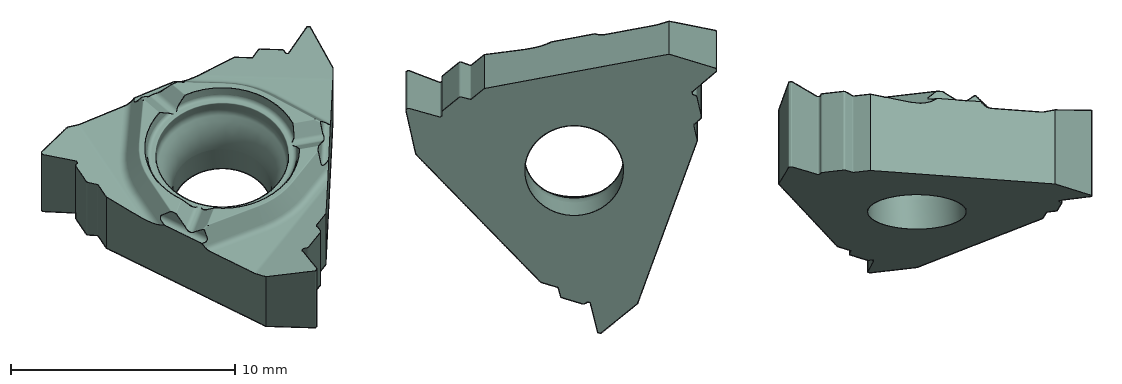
import cadquery as cq
import math


CORNER_ANGLES = (0, 120, 240)
INSCRIBED_RADIUS = 4.75
TOP_Z = 4.2
FLOOR_Z = 3.38
OVERSIZE = 8.39

LEADING_FLANK_DISTANCE = 6.77
TIP_Y = -7.21
TIP_END_X = -3.51
ROOT_Y = -5.93
ROOT_START_X = -2.73
ROOT_END_X = -2.61
CREST_START_X = -2.49
CREST_END_X = -1.4
CREST_Y = -6.1
SHOULDER_START_X = -1.13
SHOULDER_Y = -5.68
TIP_RADIUS = 0.05
ROOT_RADIUS = 0.04
CREST_RADIUS = 0.13
SHOULDER_RADIUS = 0.04

RAKE_ANGLE = 15.3
RAKE_FOLD_Y = -4.74
RAKE_FOLD_RADIUS = 0.46

HUB_TOP_RADIUS = 3.7
HUB_SLOPE_ANGLE = 50.0
HUB_EDGE_RADIUS = 0.07
HUB_FOOT_RADIUS = 0.42
HUB_ARC_END = 270
HUB_ARC_SPAN = 32

HOLE_RADIUS = 4.4 / 2
SEAT_START_Z = 1.37
SEAT_RADIUS = 2.28
SEAT_ANGLE = 43.9
SEAT_FILLET_RADIUS = 0.45
RIM_Z = 3.7
RIM_OUTER_RADIUS = 3.15
RIM_EDGE_RADIUS = 0.04
RECESS_FILLET_RADIUS = 0.21
RECESS_DRAFT = 18.0

GROOVE_DIRECTION = 195
GROOVE_OFFSET = 0.08
GROOVE_FLOOR_HALF_WIDTH = 0.035
GROOVE_WALL_ANGLE = 38.0
GROOVE_FILLET_RADIUS = 0.3
GROOVE_INNER_RADIUS = 2.8
RIDGE_RADIUS = 0.07
RIDGE_POINTS = (
    (-4.7, -1.66, 3.97),
    (-4.92, -0.74, 3.97),
)

NOTCH_LEDGE_Z = 3.66
NOTCH_LEDGE_X = -4.64
NOTCH_FILLET_RADIUS = 0.24
NOTCH_WALL_ANGLE = 70.0
NOTCH_START_Y = -2.52
NOTCH_END_Y = 0.98


def sin_deg(angle):
    return math.sin(math.radians(angle))


def cos_deg(angle):
    return math.cos(math.radians(angle))


def tan_deg(angle):
    return math.tan(math.radians(angle))


def turned(point, angle):
    """A plan point turned about the centre."""
    x, y = point
    return (
        x * cos_deg(angle) - y * sin_deg(angle),
        x * sin_deg(angle) + y * cos_deg(angle),
    )


def repeated(shape):
    """The shape joined with its copies at the other two corners."""
    copies = [shape.rotate((0, 0, 0), (0, 0, 1), angle) for angle in CORNER_ANGLES]
    return copies[0].union(copies[1]).union(copies[2])


def tooth_points():
    """Plan corners of the tooth at the -Y corner, from the -X side to the next side."""
    flank_start_y = -(LEADING_FLANK_DISTANCE - INSCRIBED_RADIUS * cos_deg(30)) / sin_deg(30)
    tip_start_x = -(LEADING_FLANK_DISTANCE + TIP_Y * sin_deg(30)) / cos_deg(30)
    shoulder_end_x = (INSCRIBED_RADIUS + SHOULDER_Y * sin_deg(60)) / cos_deg(60)
    return [
        (-INSCRIBED_RADIUS, flank_start_y),
        (tip_start_x, TIP_Y),
        (TIP_END_X, TIP_Y),
        (ROOT_START_X, ROOT_Y),
        (ROOT_END_X, ROOT_Y),
        (CREST_START_X, CREST_Y),
        (CREST_END_X, CREST_Y),
        (SHOULDER_START_X, SHOULDER_Y),
        (shoulder_end_x, SHOULDER_Y),
    ]


def outline_prism(height):
    """Insert outline with three rounded teeth, extruded up from the base."""
    tooth = tooth_points()
    points = [turned(point, angle) for angle in CORNER_ANGLES for point in tooth]
    prism = cq.Workplane("XY").polyline(points).close().extrude(height)
    radii = (TIP_RADIUS, TIP_RADIUS, ROOT_RADIUS, ROOT_RADIUS, CREST_RADIUS, CREST_RADIUS, SHOULDER_RADIUS)
    for corner, radius in zip(tooth[1:-1], radii):
        for angle in CORNER_ANGLES:
            x, y = turned(corner, angle)
            edge = cq.selectors.NearestToPointSelector((x, y, height / 2))
            prism = prism.edges("|Z").edges(edge).fillet(radius)
    return prism


def rake_wedge():
    """Block under the rising rake face of the -Y corner, blended into the floor."""
    tangent = RAKE_FOLD_RADIUS * tan_deg(RAKE_ANGLE / 2)
    fold_start = (RAKE_FOLD_Y + tangent, FLOOR_Z)
    fold_middle = (
        fold_start[0] - RAKE_FOLD_RADIUS * sin_deg(RAKE_ANGLE / 2),
        FLOOR_Z + RAKE_FOLD_RADIUS * (1 - cos_deg(RAKE_ANGLE / 2)),
    )
    fold_end = (
        RAKE_FOLD_Y - tangent * cos_deg(RAKE_ANGLE),
        FLOOR_Z + tangent * sin_deg(RAKE_ANGLE),
    )
    outer_z = FLOOR_Z + (OVERSIZE + RAKE_FOLD_Y) * tan_deg(RAKE_ANGLE)
    return (
        cq.Workplane("YZ")
        .moveTo(fold_start[0], 0)
        .lineTo(*fold_start)
        .threePointArc(fold_middle, fold_end)
        .lineTo(-OVERSIZE, outer_z)
        .lineTo(-OVERSIZE, 0)
        .close()
        .extrude(OVERSIZE, both=True)
    )


def hub_profile():
    """Half section of the hub: flat top with a rounded edge, sloping side, filleted foot."""
    half_angle = HUB_SLOPE_ANGLE / 2
    edge_tangent = HUB_EDGE_RADIUS * tan_deg(half_angle)
    edge_start = HUB_TOP_RADIUS - edge_tangent
    edge_middle = (
        edge_start + HUB_EDGE_RADIUS * sin_deg(half_angle),
        TOP_Z - HUB_EDGE_RADIUS * (1 - cos_deg(half_angle)),
    )
    edge_end = (
        HUB_TOP_RADIUS + edge_tangent * cos_deg(HUB_SLOPE_ANGLE),
        TOP_Z - edge_tangent * sin_deg(HUB_SLOPE_ANGLE),
    )
    foot_tangent = HUB_FOOT_RADIUS * tan_deg(half_angle)
    slope_foot = HUB_TOP_RADIUS + (TOP_Z - FLOOR_Z) / tan_deg(HUB_SLOPE_ANGLE)
    foot_end = slope_foot + foot_tangent
    fillet_middle = (
        foot_end - HUB_FOOT_RADIUS * sin_deg(half_angle),
        FLOOR_Z + HUB_FOOT_RADIUS * (1 - cos_deg(half_angle)),
    )
    fillet_top = (
        slope_foot - foot_tangent * cos_deg(HUB_SLOPE_ANGLE),
        FLOOR_Z + foot_tangent * sin_deg(HUB_SLOPE_ANGLE),
    )
    return (
        cq.Workplane("XZ")
        .lineTo(foot_end, 0)
        .lineTo(foot_end, FLOOR_Z)
        .threePointArc(fillet_middle, fillet_top)
        .lineTo(*edge_end)
        .threePointArc(edge_middle, (edge_start, TOP_Z))
        .lineTo(0, TOP_Z)
        .close()
    )


def hub():
    """Hub of three round stretches joined by their tangents, which meet near the sides."""
    arc_start = HUB_ARC_END - HUB_ARC_SPAN
    round_stretch = (
        hub_profile()
        .revolve(HUB_ARC_SPAN, (0, 0, 0), (0, 1, 0))
        .rotate((0, 0, 0), (0, 0, 1), arc_start)
    )
    straight = hub_profile().extrude(OVERSIZE)
    from_end = straight.mirror("XZ").rotate((0, 0, 0), (0, 0, 1), HUB_ARC_END)
    from_next_start = straight.rotate((0, 0, 0), (0, 0, 1), arc_start + CORNER_ANGLES[1])
    corner = from_end.intersect(from_next_start)
    return repeated(round_stretch.union(corner))


def screw_hole():
    """Hole with a flared screw seat, a rim and a drafted recess at the top."""
    half_angle = SEAT_ANGLE / 2
    seat_middle = (
        HOLE_RADIUS + SEAT_RADIUS * (1 - cos_deg(half_angle)),
        SEAT_START_Z + SEAT_RADIUS * sin_deg(half_angle),
    )
    seat_end = (
        HOLE_RADIUS + SEAT_RADIUS * (1 - cos_deg(SEAT_ANGLE)),
        SEAT_START_Z + SEAT_RADIUS * sin_deg(SEAT_ANGLE),
    )
    wall_radius = seat_end[0] + SEAT_FILLET_RADIUS * (1 - cos_deg(SEAT_ANGLE))
    wall_start = (wall_radius, seat_end[1] + SEAT_FILLET_RADIUS * sin_deg(SEAT_ANGLE))
    fillet_middle = (
        wall_radius - SEAT_FILLET_RADIUS * (1 - cos_deg(half_angle)),
        wall_start[1] - SEAT_FILLET_RADIUS * sin_deg(half_angle),
    )
    rim_edge_middle = (
        wall_radius + RIM_EDGE_RADIUS * (1 - cos_deg(45)),
        RIM_Z - RIM_EDGE_RADIUS * (1 - sin_deg(45)),
    )
    recess_centre_z = RIM_Z + RECESS_FILLET_RADIUS
    recess_turn = (90 + RECESS_DRAFT) / 2
    recess_middle = (
        RIM_OUTER_RADIUS + RECESS_FILLET_RADIUS * cos_deg(recess_turn),
        recess_centre_z - RECESS_FILLET_RADIUS * sin_deg(recess_turn),
    )
    recess_wall = (
        RIM_OUTER_RADIUS + RECESS_FILLET_RADIUS * cos_deg(RECESS_DRAFT),
        recess_centre_z - RECESS_FILLET_RADIUS * sin_deg(RECESS_DRAFT),
    )
    recess_top_radius = recess_wall[0] + (TOP_Z - recess_wall[1]) * tan_deg(RECESS_DRAFT)
    return (
        cq.Workplane("XZ")
        .lineTo(HOLE_RADIUS, 0)
        .lineTo(HOLE_RADIUS, SEAT_START_Z)
        .threePointArc(seat_middle, seat_end)
        .threePointArc(fillet_middle, wall_start)
        .lineTo(wall_radius, RIM_Z - RIM_EDGE_RADIUS)
        .threePointArc(rim_edge_middle, (wall_radius + RIM_EDGE_RADIUS, RIM_Z))
        .lineTo(RIM_OUTER_RADIUS, RIM_Z)
        .threePointArc(recess_middle, recess_wall)
        .lineTo(recess_top_radius, TOP_Z)
        .lineTo(0, TOP_Z)
        .close()
        .revolve(360, (0, 0, 0), (0, 1, 0))
    )


def chip_groove():
    """Radial V-groove with a narrow flat floor level with the rim."""
    half_floor = GROOVE_FLOOR_HALF_WIDTH
    half_angle = GROOVE_WALL_ANGLE / 2
    arc_middle = (
        half_floor + GROOVE_FILLET_RADIUS * sin_deg(half_angle),
        RIM_Z + GROOVE_FILLET_RADIUS * (1 - cos_deg(half_angle)),
    )
    arc_end = (
        half_floor + GROOVE_FILLET_RADIUS * sin_deg(GROOVE_WALL_ANGLE),
        RIM_Z + GROOVE_FILLET_RADIUS * (1 - cos_deg(GROOVE_WALL_ANGLE)),
    )
    half_top = arc_end[0] + (TOP_Z - arc_end[1]) / tan_deg(GROOVE_WALL_ANGLE)
    return (
        cq.Workplane("YZ", origin=(GROOVE_INNER_RADIUS, -GROOVE_OFFSET, 0))
        .moveTo(-half_floor, RIM_Z)
        .lineTo(half_floor, RIM_Z)
        .threePointArc(arc_middle, arc_end)
        .lineTo(half_top, TOP_Z)
        .lineTo(-half_top, TOP_Z)
        .lineTo(-arc_end[0], arc_end[1])
        .threePointArc((-arc_middle[0], arc_middle[1]), (-half_floor, RIM_Z))
        .close()
        .extrude(OVERSIZE)
        .rotate((0, 0, 0), (0, 0, 1), GROOVE_DIRECTION)
    )


def grooved_hub():
    """Hub with its grooves, whose edges are rounded along the hub top and down its sides."""
    body = hub().cut(repeated(chip_groove()))
    for x, y, z in RIDGE_POINTS:
        for angle in CORNER_ANGLES:
            near_ridge = cq.selectors.NearestToPointSelector((*turned((x, y), angle), z))
            body = body.edges(near_ridge).fillet(RIDGE_RADIUS)
    return body


def side_notch():
    """Notch along the -X side: flat ledge, fillet and a steep wall up to the hub top."""
    half_angle = NOTCH_WALL_ANGLE / 2
    arc_middle = (
        NOTCH_LEDGE_X + NOTCH_FILLET_RADIUS * sin_deg(half_angle),
        NOTCH_LEDGE_Z + NOTCH_FILLET_RADIUS * (1 - cos_deg(half_angle)),
    )
    arc_end = (
        NOTCH_LEDGE_X + NOTCH_FILLET_RADIUS * sin_deg(NOTCH_WALL_ANGLE),
        NOTCH_LEDGE_Z + NOTCH_FILLET_RADIUS * (1 - cos_deg(NOTCH_WALL_ANGLE)),
    )
    wall_top_x = arc_end[0] + (TOP_Z - arc_end[1]) / tan_deg(NOTCH_WALL_ANGLE)
    return (
        cq.Workplane("XZ", origin=(0, NOTCH_END_Y, 0))
        .moveTo(-OVERSIZE, NOTCH_LEDGE_Z)
        .lineTo(NOTCH_LEDGE_X, NOTCH_LEDGE_Z)
        .threePointArc(arc_middle, arc_end)
        .lineTo(wall_top_x, TOP_Z)
        .lineTo(-OVERSIZE, TOP_Z)
        .close()
        .extrude(NOTCH_END_Y - NOTCH_START_Y)
    )


upper_form = (
    cq.Workplane("XY")
    .circle(OVERSIZE)
    .extrude(FLOOR_Z)
    .union(repeated(rake_wedge()))
    .union(grooved_hub())
    .cut(repeated(side_notch()))
)
result = outline_prism(TOP_Z).intersect(upper_form).cut(screw_hole())